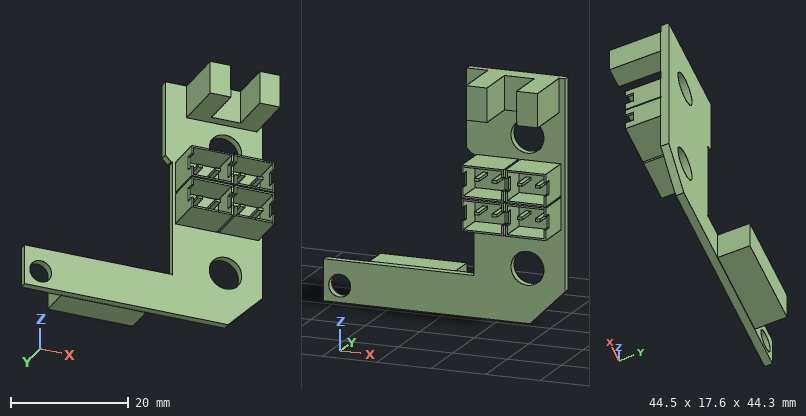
import cadquery as cq


board_width = 44.45
board_height = 44.3
board_thickness = 1.5
arm_height = 7.5
head_left = 26.25
column_left = 27.65
notch_size = 1.05
notch_shelf_z = 29.1
corner_cut_x = 6.45
corner_cut_z = 6.4

mount_hole_diameter = 6.0
mount_hole_x = 37.5
mount_hole_heights = (9.82, 33.35)
arm_hole_diameter = 4
arm_hole_x = 3.02
arm_hole_z = 3.02

block_left = 7.6
block_bottom = 0.2
block_width = 15.9
block_depth = 6.0
block_height = 7.1

fork_left = 30.23
fork_width = 13.1
fork_depth = 10.05
fork_height = 6.15
fork_gap_width = 5.42
fork_base_depth = 1.85

connector_columns = ((28.15, 7.8), (36.23, 7.42))
connector_bottoms = (17.35, 23.35)
connector_depth = 7.0
connector_height = 5.8
side_wall = 0.35
edge_wall = 0.3
cavity_depth = 5.5
window_bottom = 1.85
window_height = 2.4
window_depth = 1.5
pin_pitch = 3.3
pin_width = 0.85
pin_height = 0.5
pin_offset = 2.75
pin_length = 4.1


def box(x, y, z, width, depth, height):
    """Box with its lowest corner at (x, y, z)."""
    return cq.Workplane("XY").box(width, depth, height, centered=False).translate((x, y, z))


def hole(x, z, diameter):
    """Cylinder that spans the board thickness."""
    cylinder = cq.Workplane("XZ").center(x, z).circle(diameter / 2)
    return cylinder.extrude(-board_thickness)


def make_board():
    outline = [
        (0, 0),
        (board_width - corner_cut_x, 0),
        (board_width, corner_cut_z),
        (board_width, board_height),
        (head_left, board_height),
        (head_left, notch_shelf_z + notch_size),
        (head_left + notch_size, notch_shelf_z),
        (column_left, notch_shelf_z),
        (column_left, arm_height),
        (0, arm_height),
    ]
    board = cq.Workplane("XZ").polyline(outline).close().extrude(-board_thickness)
    for z in mount_hole_heights:
        board = board.cut(hole(mount_hole_x, z, mount_hole_diameter))
    return board.cut(hole(arm_hole_x, arm_hole_z, arm_hole_diameter))


def make_block():
    return box(block_left, board_thickness, block_bottom, block_width, block_depth, block_height)


def make_fork():
    bottom = board_height - fork_height
    gap_left = fork_left + (fork_width - fork_gap_width) / 2
    gap_depth = fork_depth - fork_base_depth
    body = box(fork_left, -fork_depth, bottom, fork_width, fork_depth, fork_height)
    gap = box(gap_left, -fork_depth, bottom, fork_gap_width, gap_depth, fork_height)
    return body.cut(gap)


def make_connector(left, bottom, width):
    """Open-fronted shell with a window in each side wall and two pins inside."""
    front = -connector_depth
    shell = box(left, front, bottom, width, connector_depth, connector_height)
    cavity = box(
        left + side_wall, front, bottom + edge_wall,
        width - 2 * side_wall, cavity_depth, connector_height - 2 * edge_wall,
    )
    windows = box(left, front, bottom + window_bottom, width, window_depth, window_height)
    shell = shell.cut(cavity).cut(windows)

    cavity_floor = front + cavity_depth
    pin_bottom = bottom + pin_offset
    for side in (-1, 1):
        pin_left = left + (width + side * pin_pitch - pin_width) / 2
        pin = box(pin_left, cavity_floor - pin_length, pin_bottom, pin_width, pin_length, pin_height)
        shell = shell.union(pin)
    return shell


result = make_board().union(make_block()).union(make_fork())
for column_x, column_width in connector_columns:
    for row_z in connector_bottoms:
        result = result.union(make_connector(column_x, row_z, column_width))